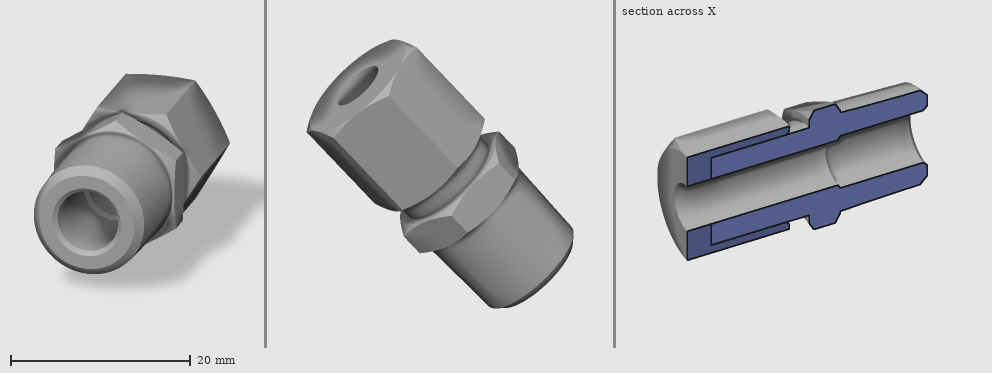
import cadquery as cq
import math

OVERALL_LENGTH = 30.45
NUT_LENGTH = 13.0
NECK_LENGTH = 2.45
HEX_LENGTH = 4.0

y_nut_back = OVERALL_LENGTH / 2
y_nut_front = y_nut_back - NUT_LENGTH
y_hex_back = y_nut_front - NECK_LENGTH
y_hex_front = y_hex_back - HEX_LENGTH
y_pipe_end = -OVERALL_LENGTH / 2

ACROSS_FLATS = 14.0
CORNER_CHAMFER_ANGLE = 30.0

PIPE_BASE_RADIUS = 6.73
PIPE_TAPER = 1 / 32
PIPE_CHAMFER = 0.9

NECK_RADIUS = 5.97
MOUTH_CHAMFER = 0.35
NUT_WALL = 3.05

y_neck_end = y_nut_back - NUT_WALL

PASSAGE_RADIUS = 3.0
BORE_RADIUS = 3.5
BORE_CHAMFER = 0.5
BORE_END_ANGLE = 60.0

y_bore_end = y_hex_front
bore_cone_length = (BORE_RADIUS - PASSAGE_RADIUS) / math.tan(math.radians(BORE_END_ANGLE))


def revolved(profile):
    """Turn a profile of (radius, y) points around the Y axis."""
    return cq.Workplane("XY").polyline(profile).close().revolve(360, (0, 0, 0), (0, 1, 0))


def cylinder(radius, y_start, y_end):
    """Cylinder along the Y axis."""
    return revolved([(0, y_start), (radius, y_start), (radius, y_end), (0, y_end)])


def chamfered_hexagon(y_start, y_end, turn):
    """Hexagonal prism along Y with its corners turned down at both ends."""
    flat_radius = ACROSS_FLATS / 2
    corner_radius = flat_radius / math.cos(math.pi / 6)
    chamfer = (corner_radius - flat_radius) * math.tan(math.radians(CORNER_CHAMFER_ANGLE))
    prism = (
        cq.Workplane("XZ", origin=(0, y_end, 0))
        .polygon(6, 2 * corner_radius)
        .extrude(y_end - y_start)
        .rotate((0, 0, 0), (0, 1, 0), turn)
    )
    envelope = revolved(
        [
            (0, y_start),
            (flat_radius, y_start),
            (corner_radius, y_start + chamfer),
            (corner_radius, y_end - chamfer),
            (flat_radius, y_end),
            (0, y_end),
        ]
    )
    return prism.intersect(envelope)


def make_pipe_end():
    """Tapered pipe end with a chamfered tip."""
    y_chamfer = y_pipe_end + PIPE_CHAMFER
    tip_radius = PIPE_BASE_RADIUS - (y_hex_front - y_chamfer) * PIPE_TAPER
    return revolved(
        [
            (0, y_hex_front),
            (PIPE_BASE_RADIUS, y_hex_front),
            (tip_radius, y_chamfer),
            (tip_radius - PIPE_CHAMFER, y_pipe_end),
            (0, y_pipe_end),
        ]
    )


def make_fitting_hole():
    """Wide bore from the pipe end, narrowing by a cone to the passage."""
    return revolved(
        [
            (0, y_pipe_end),
            (BORE_RADIUS + BORE_CHAMFER, y_pipe_end),
            (BORE_RADIUS, y_pipe_end + BORE_CHAMFER),
            (BORE_RADIUS, y_bore_end),
            (PASSAGE_RADIUS, y_bore_end + bore_cone_length),
            (PASSAGE_RADIUS, y_neck_end),
            (0, y_neck_end),
        ]
    )


def make_fitting():
    """Fitting: pipe end, hexagon with corners up and down, and neck."""
    return (
        chamfered_hexagon(y_hex_front, y_hex_back, turn=30)
        .union(make_pipe_end())
        .union(cylinder(NECK_RADIUS, y_hex_back, y_neck_end))
        .cut(make_fitting_hole())
    )


def make_nut_recess():
    """Recess that fits the neck, with a chamfered mouth."""
    return revolved(
        [
            (0, y_nut_front),
            (NECK_RADIUS + MOUTH_CHAMFER, y_nut_front),
            (NECK_RADIUS, y_nut_front + MOUTH_CHAMFER),
            (NECK_RADIUS, y_neck_end),
            (0, y_neck_end),
        ]
    )


def make_nut():
    """Nut: hexagon with corners at the sides, recessed for the neck."""
    return (
        chamfered_hexagon(y_nut_front, y_nut_back, turn=0)
        .cut(make_nut_recess())
        .cut(cylinder(PASSAGE_RADIUS, y_neck_end, y_nut_back))
    )


fitting = make_fitting()
nut = make_nut()

result = cq.Compound.makeCompound([fitting.val(), nut.val()])